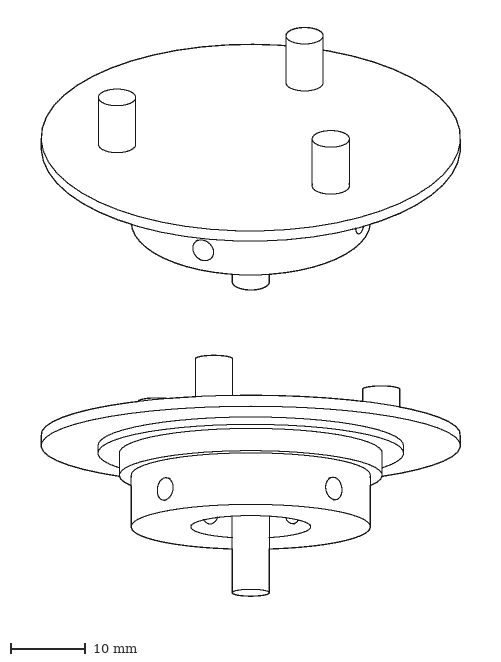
import cadquery as cq

flange_diameter = 56.0
flange_thickness = 1.5
shoulder_diameter = 40.8
shoulder_thickness = 1.0
collar_diameter = 35.1
collar_thickness = 3.0
hub_diameter = 32.0
hub_height = 7.0
hub_bore_diameter = 16.0

pin_diameter = 5.0
top_pin_height = 7.0
top_pin_count = 3
top_pin_circle_radius = 18.0
first_top_pin_angle = 90
bottom_pin_projection = 8.95

radial_hole_diameter = 3.0
radial_hole_count = 4
radial_hole_drop = 4.0

shoulder_top = -flange_thickness
collar_top = shoulder_top - shoulder_thickness
hub_top = collar_top - collar_thickness
radial_hole_z = hub_top - radial_hole_drop


def disc(diameter, top, height):
    """Solid cylinder on the Z axis that hangs down from the given top level."""
    return cq.Workplane("XY").workplane(offset=top).circle(diameter / 2).extrude(-height)


def stepped_body():
    body = disc(flange_diameter, 0, flange_thickness)
    body = body.union(disc(shoulder_diameter, shoulder_top, shoulder_thickness))
    body = body.union(disc(collar_diameter, collar_top, collar_thickness))
    body = body.union(disc(hub_diameter, hub_top, hub_height))
    return body.cut(disc(hub_bore_diameter, hub_top, hub_height))


def top_pins():
    return (
        cq.Workplane("XY")
        .polarArray(top_pin_circle_radius, first_top_pin_angle, 360, top_pin_count)
        .circle(pin_diameter / 2)
        .extrude(top_pin_height)
    )


def bottom_pin():
    """Central pin that stands on the roof of the hub bore and projects below the hub."""
    return disc(pin_diameter, hub_top, hub_height + bottom_pin_projection)


def radial_hole(angle):
    """Cutter for one hole, running outward from between the pin and the hub wall."""
    start_radius = (pin_diameter + hub_bore_diameter) / 4
    cutter = (
        cq.Workplane("YZ")
        .workplane(offset=start_radius)
        .center(0, radial_hole_z)
        .circle(radial_hole_diameter / 2)
        .extrude(hub_diameter / 2)
    )
    return cutter.rotate((0, 0, 0), (0, 0, 1), angle)


result = stepped_body()
result = result.union(top_pins())
result = result.union(bottom_pin())
for index in range(radial_hole_count):
    result = result.cut(radial_hole(index * 360 / radial_hole_count))